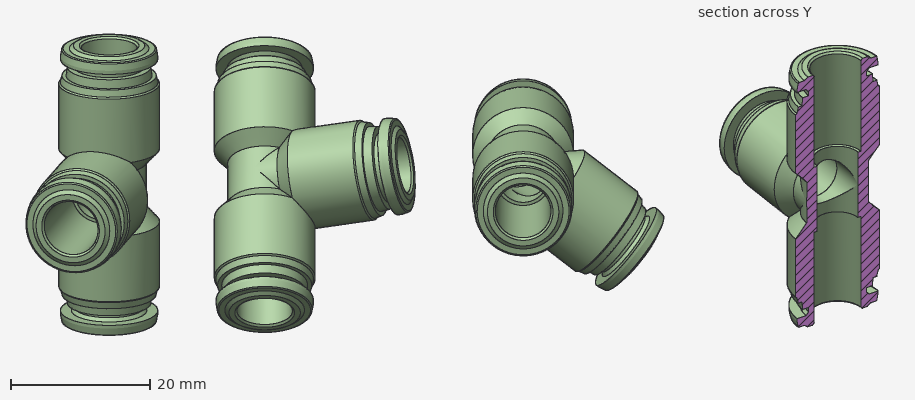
import cadquery as cq

ARM_LENGTH = 21.0

BODY_RADIUS = 14.5 / 2
WAIST_RADIUS = 5.35
WAIST_END = 3.4
BODY_START = 5.5
BODY_END = 15.3

SLEEVE_BEVEL_END = 15.5
SLEEVE_BASE_RADIUS = 7.0
SLEEVE_TIP_RADIUS = 6.75
SLEEVE_END = 16.5
COLLAR_BASE_RADIUS = 6.17
COLLAR_TIP_RADIUS = 6.0
COLLAR_END = 17.8

NECK_RADIUS = 10.0 / 2
NECK_END = 18.45
FLARE_RADIUS = 5.4
FLANGE_START = 18.95
FLANGE_RADIUS = 14.0 / 2
FLANGE_TAPER_START = 19.45
FLANGE_TIP_RADIUS = 6.8
FLANGE_BEVEL_START = 20.45
FLANGE_FACE_RADIUS = 6.6
FLANGE_END = 20.6
LIP_BASE_RADIUS = 5.7
LIP_TIP_RADIUS = 5.12

PASSAGE_RADIUS = 7.0 / 2
TUBE_RADIUS = 8.0 / 2
TUBE_STOP = BODY_START
MOUTH_RADIUS = 4.3
MOUTH_DEPTH = MOUTH_RADIUS - TUBE_RADIUS


def revolve_about_z(profile):
    """Turn a closed (radius, height) profile about the Z axis."""
    return cq.Workplane("XZ").polyline(profile).close().revolve(360, (0, 0, 0), (0, 1, 0))


def arm_exterior():
    return revolve_about_z([
        (0, 0),
        (WAIST_RADIUS, 0),
        (WAIST_RADIUS, WAIST_END),
        (BODY_RADIUS, BODY_START),
        (BODY_RADIUS, BODY_END),
        (SLEEVE_BASE_RADIUS, SLEEVE_BEVEL_END),
        (SLEEVE_TIP_RADIUS, SLEEVE_END),
        (COLLAR_BASE_RADIUS, SLEEVE_END),
        (COLLAR_TIP_RADIUS, COLLAR_END),
        (NECK_RADIUS, COLLAR_END),
        (NECK_RADIUS, NECK_END),
        (FLARE_RADIUS, FLANGE_START),
        (FLANGE_RADIUS, FLANGE_START),
        (FLANGE_RADIUS, FLANGE_TAPER_START),
        (FLANGE_TIP_RADIUS, FLANGE_BEVEL_START),
        (FLANGE_FACE_RADIUS, FLANGE_END),
        (LIP_BASE_RADIUS, FLANGE_END),
        (LIP_TIP_RADIUS, ARM_LENGTH),
        (0, ARM_LENGTH),
    ])


def arm_bore():
    return revolve_about_z([
        (0, 0),
        (PASSAGE_RADIUS, 0),
        (PASSAGE_RADIUS, TUBE_STOP),
        (TUBE_RADIUS, TUBE_STOP),
        (TUBE_RADIUS, ARM_LENGTH - MOUTH_DEPTH),
        (MOUTH_RADIUS, ARM_LENGTH),
        (0, ARM_LENGTH),
    ])


def tee_of(arm):
    """Join three copies of an upward arm into a tee along +Z, -Z and -Y."""
    tee = arm
    for tilt in (90, 180):
        tee = tee.union(arm.rotate((0, 0, 0), (1, 0, 0), tilt))
    return tee.clean()


result = tee_of(arm_exterior()).cut(tee_of(arm_bore()))